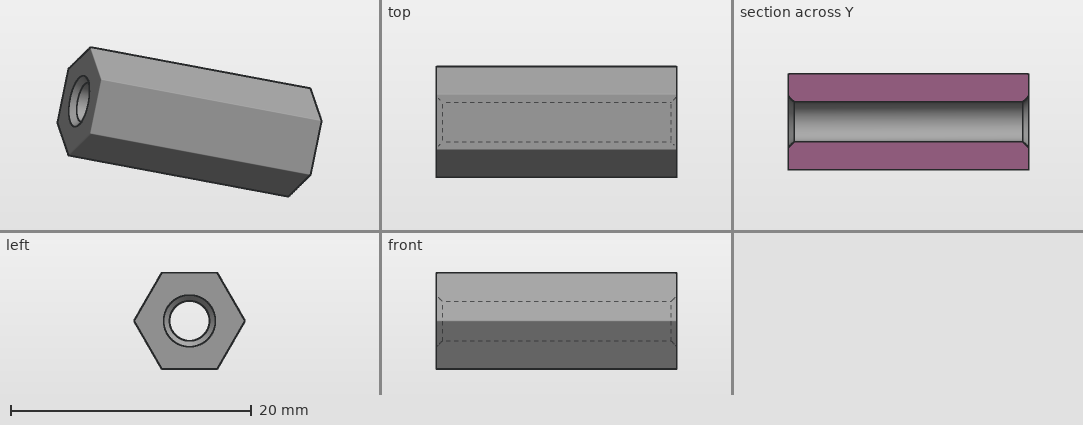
import cadquery as cq
import math

length = 20.0
across_flats = 8.0
edge_radius = 0.1
bore_diameter = 3.3
countersink_diameter = 4.3
countersink_angle = 90.0

across_corners = across_flats / math.cos(math.pi / 6)
countersink_depth = (
    (countersink_diameter - bore_diameter) / 2 / math.tan(math.radians(countersink_angle / 2))
)


def hex_body():
    """Hexagonal bar along X, flats facing up and down, all edges rounded."""
    bar = cq.Workplane("YZ").polygon(6, across_corners).extrude(length / 2, both=True)
    return bar.edges().fillet(edge_radius)


def countersunk_bore():
    """Cutter for the through bore, with a conical mouth at each end."""
    half_length = length / 2
    bore_radius = bore_diameter / 2
    mouth_radius = countersink_diameter / 2
    profile = [
        (-half_length, 0),
        (-half_length, mouth_radius),
        (-half_length + countersink_depth, bore_radius),
        (half_length - countersink_depth, bore_radius),
        (half_length, mouth_radius),
        (half_length, 0),
    ]
    return cq.Workplane("XY").polyline(profile).close().revolve(360, (0, 0, 0), (1, 0, 0))


result = hex_body().cut(countersunk_bore())